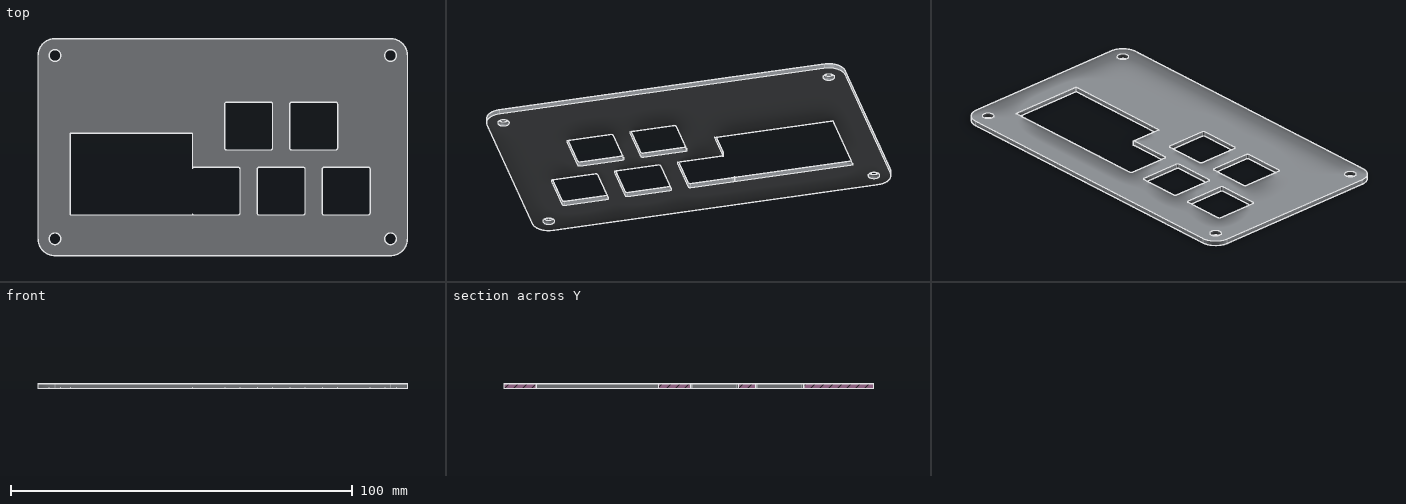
import cadquery as cq

plate_length = 108.2
plate_width = 63.6
plate_thickness = 1.5
corner_radius = 5.0

hole_diameter = 3.4

key_size = 14.0
key_corner_radius = 0.5
key_pitch = 19.0
front_row_first_x = -2.0
front_row_y = -12.9
front_row_count = 3
back_row_count = 2
back_row_first_x = front_row_first_x + key_pitch / 2
back_row_y = front_row_y + key_pitch

window_left = -44.6
window_height = 23.9
window_overlap = 0.05
window_right = front_row_first_x - key_size / 2 + window_overlap
window_bottom = front_row_y - key_size / 2
window_length = window_right - window_left


def rounded_prism(length, width, radius, center_x=0, center_y=0):
    """Plate-thick rectangular block with rounded vertical edges."""
    return (
        cq.Workplane("XY")
        .box(length, width, plate_thickness)
        .edges("|Z")
        .fillet(radius)
        .translate((center_x, center_y, 0))
    )


def cut_key_row(plate, first_x, row_y, count):
    """Cut a row of evenly spaced key openings through the plate."""
    for index in range(count):
        key_x = first_x + index * key_pitch
        plate = plate.cut(rounded_prism(key_size, key_size, key_corner_radius, key_x, row_y))
    return plate


plate = rounded_prism(plate_length, plate_width, corner_radius)

plate = (
    plate.faces(">Z")
    .workplane()
    .rect(plate_length - 2 * corner_radius, plate_width - 2 * corner_radius, forConstruction=True)
    .vertices()
    .hole(hole_diameter)
)

plate = cut_key_row(plate, front_row_first_x, front_row_y, front_row_count)
plate = cut_key_row(plate, back_row_first_x, back_row_y, back_row_count)

window = cq.Workplane("XY").box(window_length, window_height, plate_thickness).translate(
    (window_left + window_length / 2, window_bottom + window_height / 2, 0)
)
result = plate.cut(window)